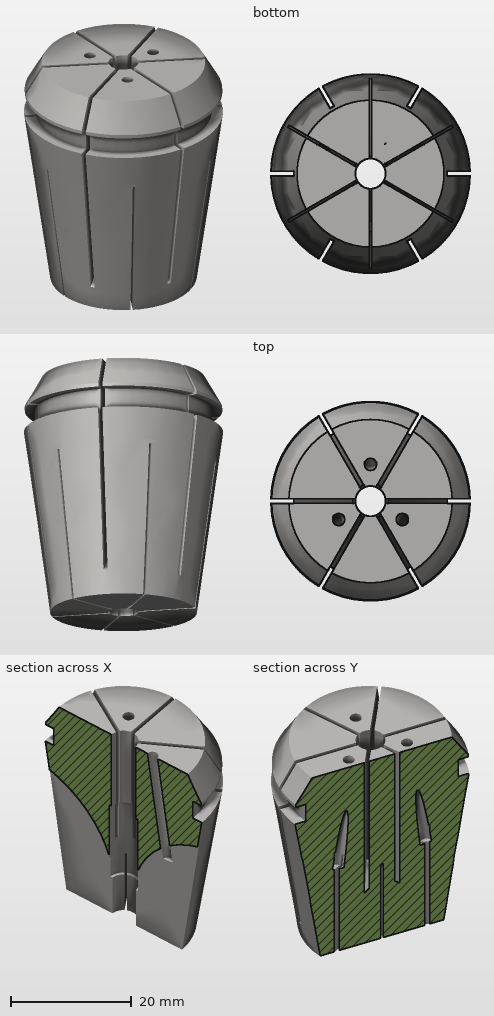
import cadquery as cq
import math

total_height = 40.0
body_top_diameter = 33.0
body_half_angle = 8.0
body_height = 30.9
neck_radius = 14.65
head_bottom = 34.5
head_rim_radius = 16.35
head_rim_height = 0.6
head_half_angle = 30.0

bore_radius = 2.5
relief_radius = 2.9
relief_bottom = 8.0
relief_top = 24.0
ledge_slope = 5.0

end_overrun = 0.4

slots_per_end = 6
slot_pitch = 360.0 / slots_per_end
slot_reach = 18.0
top_slot_width = 0.7
top_saw_radius = 28.4
top_saw_axis_radius = 29.0
top_saw_axis_height = 27.3
bottom_slot_width = 0.4
bottom_saw_radius = 19.3
bottom_saw_axis_radius = 21.3
bottom_saw_axis_height = 6.5

coolant_hole_count = 3
coolant_hole_pitch = 360.0 / coolant_hole_count
coolant_hole_diameter = 2.0
coolant_hole_pitch_radius = 6.1
coolant_hole_tilt = body_half_angle
coolant_hole_length = 22.0
coolant_hole_first_angle = 90.0


def rise(run, angle):
    """Length of the side opposite `angle` (degrees) for a given adjacent side."""
    return run * math.tan(math.radians(angle))


def collet_blank():
    """Solid of revolution with the outer shape of the collet."""
    body_top_radius = body_top_diameter / 2
    body_bottom_radius = body_top_radius - rise(body_height, body_half_angle)
    bevel_bottom = head_bottom + head_rim_height
    face_radius = head_rim_radius - rise(total_height - bevel_bottom, head_half_angle)
    return (
        cq.Workplane("XZ")
        .lineTo(body_bottom_radius, 0)
        .lineTo(body_top_radius, body_height)
        .lineTo(neck_radius, body_height)
        .lineTo(neck_radius, head_bottom)
        .lineTo(head_rim_radius, head_bottom)
        .lineTo(head_rim_radius, bevel_bottom)
        .lineTo(face_radius, total_height)
        .lineTo(0, total_height)
        .close()
        .revolve(360, (0, 0), (0, 1))
    )


def bore():
    """Through bore with its internal relief."""
    ledge_drop = rise(relief_radius - bore_radius, ledge_slope)
    return (
        cq.Workplane("XZ")
        .lineTo(bore_radius, 0)
        .lineTo(bore_radius, relief_bottom - ledge_drop)
        .lineTo(relief_radius, relief_bottom)
        .lineTo(relief_radius, relief_top)
        .lineTo(bore_radius, relief_top)
        .lineTo(bore_radius, total_height)
        .lineTo(0, total_height)
        .close()
        .revolve(360, (0, 0), (0, 1))
    )


def saw_slot(width, saw_radius, axis_radius, axis_height, open_height):
    """Radial slot along +X, open at the end at `open_height`, with its floor rounded by the saw."""
    toward_floor = math.copysign(1.0, axis_height - open_height)

    def floor_height(radius):
        return axis_height + toward_floor * math.sqrt(saw_radius**2 - (axis_radius - radius) ** 2)

    middle_radius = (bore_radius + slot_reach) / 2
    return (
        cq.Workplane("XZ")
        .moveTo(0, open_height)
        .lineTo(0, floor_height(bore_radius))
        .lineTo(bore_radius, floor_height(bore_radius))
        .threePointArc((middle_radius, floor_height(middle_radius)), (slot_reach, floor_height(slot_reach)))
        .lineTo(slot_reach, open_height)
        .close()
        .extrude(width / 2, both=True)
    )


def coolant_hole():
    """Tilted hole on the +X side, entering through the top face."""
    tilt = math.radians(coolant_hole_tilt)
    downward = cq.Vector(math.sin(tilt), 0, -math.cos(tilt))
    entry = cq.Vector(coolant_hole_pitch_radius, 0, total_height)
    start = entry - downward * end_overrun
    length = coolant_hole_length + end_overrun
    return cq.Workplane(cq.Solid.makeCylinder(coolant_hole_diameter / 2, length, start, downward))


def turned(shape, angle):
    """Shape rotated about the collet axis."""
    return shape.rotate((0, 0, 0), (0, 0, 1), angle)


result = collet_blank().cut(bore())

top_slot = saw_slot(
    top_slot_width, top_saw_radius, top_saw_axis_radius, top_saw_axis_height, total_height + end_overrun
)
bottom_slot = saw_slot(
    bottom_slot_width, bottom_saw_radius, bottom_saw_axis_radius, bottom_saw_axis_height, -end_overrun
)
for index in range(slots_per_end):
    result = result.cut(turned(top_slot, index * slot_pitch))
    result = result.cut(turned(bottom_slot, (index + 0.5) * slot_pitch))

for index in range(coolant_hole_count):
    angle = coolant_hole_first_angle + index * coolant_hole_pitch
    result = result.cut(turned(coolant_hole(), angle))